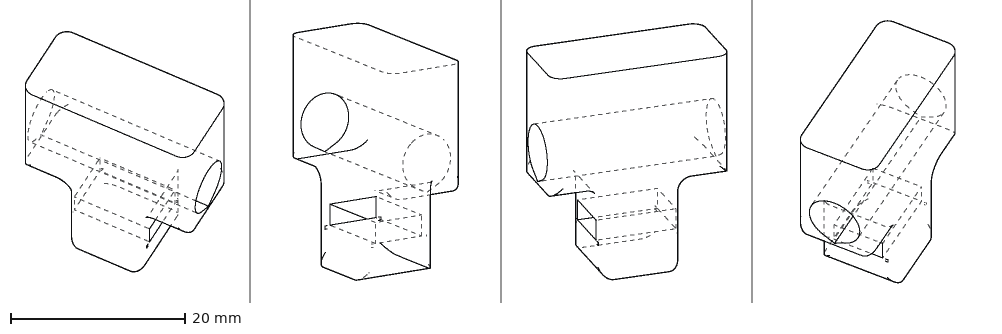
import cadquery as cq
import math

head_width = 21.7
depth = 10.0
height = 26.0
stem_width = 9.75
stem_height = 11.0
edge_radius = 1.5

bore_diameter = 6.5
bore_height = 15.0
tip_half_angle = math.radians(62)

slot_width = 6.27
slot_bottom = 4.4
slot_height = 2.5

plate_width = 7.6
plate_thickness = 0.4


def box_on(bottom, size_x, size_y, size_z):
    """Box centred on the Z axis, standing at the given height."""
    return (
        cq.Workplane("XY")
        .workplane(offset=bottom)
        .box(size_x, size_y, size_z, centered=(True, True, False))
    )


def make_body():
    stem = box_on(0, stem_width, depth, stem_height)
    head = box_on(stem_height, head_width, depth, height - stem_height)
    body = stem.union(head)

    half_stem = stem_width / 2
    for side in (-1, 1):
        inner_corner = cq.selectors.NearestToPointSelector((side * half_stem, 0, stem_height))
        body = body.edges("|Y").edges(inner_corner).fillet(edge_radius)

    outline = body.faces("<Y or >Y").edges("not(>Z or <Z)")
    bottom_corners = body.faces("<Z").edges("|Y")
    return body.newObject(outline.vals() + bottom_corners.vals()).fillet(edge_radius)


def make_bore():
    radius = bore_diameter / 2
    tangent_y = radius * math.cos(tip_half_angle)
    tangent_z = bore_height - radius * math.sin(tip_half_angle)
    tip_z = bore_height - radius / math.sin(tip_half_angle)
    return (
        cq.Workplane("YZ")
        .moveTo(0, tip_z)
        .lineTo(tangent_y, tangent_z)
        .threePointArc((0, bore_height + radius), (-tangent_y, tangent_z))
        .close()
        .extrude(head_width / 2, both=True)
    )


plate = box_on(slot_bottom - plate_thickness, stem_width, plate_width, plate_thickness)
slot = box_on(slot_bottom, stem_width, slot_width, slot_height)

result = make_body().union(plate).cut(slot).cut(make_bore())